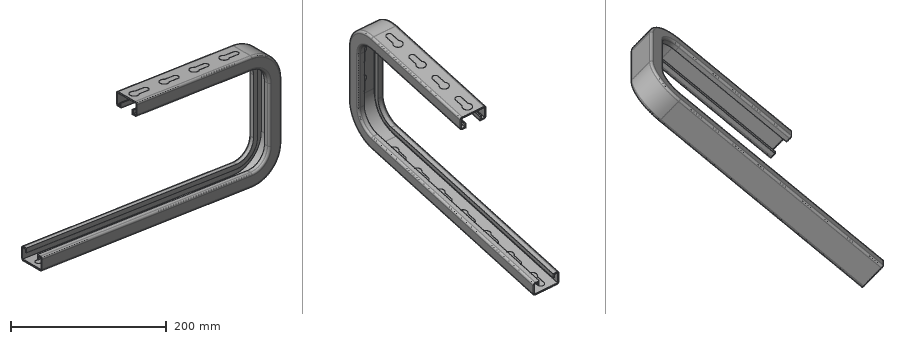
import cadquery as cq

channel_width = 41.0
channel_depth = 21.3
wall = 2.2
corner_radius = 3.4
slot_width = 22.0
lip_return = 7.0

lower_length = 400.2
upper_length = 242.0
bracket_height = 192.18
bend_radius = 50.0

keyhole_pitch = 50.0
head_diameter = 13.2
neck_width = 9.0
neck_reach = 19.0
keyhole_depth = 0.1
upper_count = 4
back_count = 2
lower_count = 7
upper_first_head = 79.5
back_first_head = 75.7
lower_first_head = 30.0

lower_end = -lower_length
upper_end = -upper_length


def bracket_path():
    """Line along the outside of the web, from the lower free end to the upper one."""
    return (
        cq.Workplane("YZ")
        .moveTo(lower_end, 0)
        .lineTo(-bend_radius, 0)
        .radiusArc((0, bend_radius), -bend_radius)
        .lineTo(0, bracket_height - bend_radius)
        .radiusArc((-bend_radius, bracket_height), -bend_radius)
        .lineTo(upper_end, bracket_height)
    )


def channel_section():
    """Closed outline of the slotted channel, web at the bottom and lips turned inward."""
    half_width = channel_width / 2
    half_slot = slot_width / 2
    inner_half = half_width - wall
    lip_outer = half_slot + wall
    lip_end = channel_depth - lip_return
    lip_underside = channel_depth - wall
    return (
        cq.Workplane("XZ", origin=(0, lower_end, 0))
        .moveTo(0, 0)
        .lineTo(half_width - corner_radius, 0)
        .radiusArc((half_width, corner_radius), -corner_radius)
        .lineTo(half_width, channel_depth - corner_radius)
        .radiusArc((half_width - corner_radius, channel_depth), -corner_radius)
        .lineTo(half_slot, channel_depth)
        .lineTo(half_slot, lip_end)
        .lineTo(lip_outer, lip_end)
        .lineTo(lip_outer, lip_underside)
        .lineTo(inner_half, lip_underside)
        .lineTo(inner_half, wall)
        .lineTo(0, wall)
        .mirrorY()
    )


def keyhole_row(face, first_head, count):
    """Cutters sunk into a web face, spaced along its local Y, necks pointing to local -Y."""
    heads = [first_head + index * keyhole_pitch for index in range(count)]
    head_centers = [(0, head) for head in heads]
    neck_centers = [(0, head - neck_reach / 2) for head in heads]
    neck_length = neck_reach + neck_width
    rounds = face.pushPoints(head_centers).circle(head_diameter / 2).extrude(-keyhole_depth)
    necks = face.pushPoints(neck_centers).slot2D(neck_length, neck_width, 90).extrude(-keyhole_depth)
    return rounds.union(necks)


upper_face = cq.Workplane(cq.Plane((0, 0, bracket_height), xDir=(-1, 0, 0), normal=(0, 0, 1)))
upper_keyholes = keyhole_row(upper_face, upper_first_head, upper_count)

back_face = cq.Workplane(cq.Plane((0, -wall, 0), xDir=(1, 0, 0), normal=(0, -1, 0)))
back_keyholes = keyhole_row(back_face, back_first_head, back_count)

lower_face = cq.Workplane(cq.Plane((0, lower_end, wall), xDir=(1, 0, 0), normal=(0, 0, 1)))
lower_keyholes = keyhole_row(lower_face, lower_first_head, lower_count)

channel = channel_section().sweep(bracket_path())
result = channel.cut(upper_keyholes).cut(back_keyholes).cut(lower_keyholes)